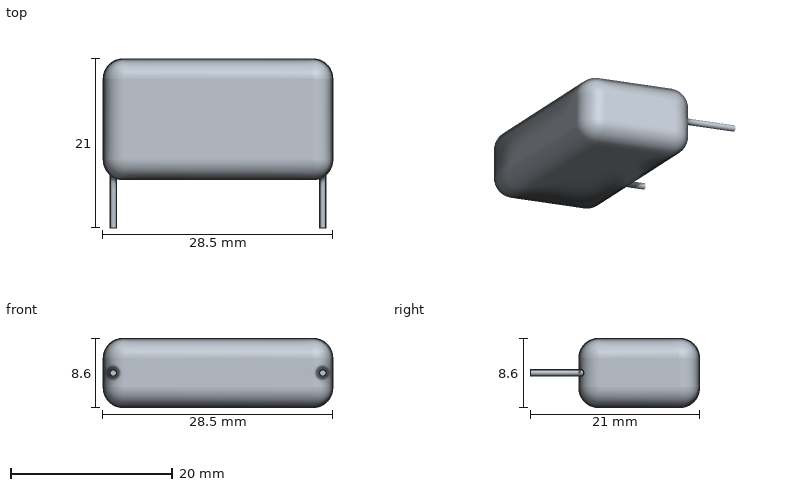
import cadquery as cq

body_length = 28.5
body_width = 15.0
body_height = 8.6
edge_radius = 2.5

lead_diameter = 0.8
lead_spacing = 26.0
lead_reach = 6.0


def make_body():
    """Box centred on the origin with every edge rounded."""
    return cq.Workplane("XY").box(body_length, body_width, body_height).edges().fillet(edge_radius)


def make_lead(x):
    """Round wire along -Y, rooted in the middle of the body."""
    wire_length = body_width / 2 + lead_reach
    return cq.Workplane("XZ").center(x, 0).circle(lead_diameter / 2).extrude(wire_length)


result = make_body()
for lead_x in (-lead_spacing / 2, lead_spacing / 2):
    result = result.union(make_lead(lead_x))